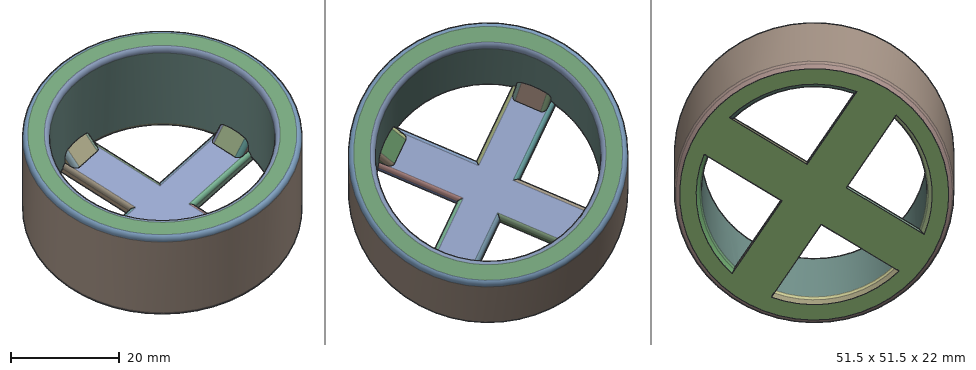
import cadquery as cq
import math

outer_radius = 25.75
bore_radius = 20.75
height = 22.0
edge_round = 1.0
bottom_chamfer = 1.0

arm_width = 8.6
floor_thickness = 2.0
arm_round = 0.8
arm_reach = (bore_radius + outer_radius) / 2

gusset_width = arm_width - 2 * arm_round
gusset_foot_radius = 17.75
gusset_slope = 45.0
gusset_round = 0.95


def make_ring():
    """Ring with rounded top rims and bottom chamfers that blend into the walls with a round."""
    blend_length = edge_round * math.tan(math.radians(22.5))
    blend_leg = blend_length * math.sqrt(0.5)
    section = (
        cq.Workplane("XZ")
        .moveTo(bore_radius + bottom_chamfer, 0)
        .lineTo(outer_radius - bottom_chamfer, 0)
        .lineTo(outer_radius - blend_leg, bottom_chamfer - blend_leg)
        .tangentArcPoint((outer_radius, bottom_chamfer + blend_length), relative=False)
        .lineTo(outer_radius, height - edge_round)
        .tangentArcPoint((outer_radius - edge_round, height), relative=False)
        .lineTo(bore_radius + edge_round, height)
        .tangentArcPoint((bore_radius, height - edge_round), relative=False)
        .lineTo(bore_radius, bottom_chamfer + blend_length)
        .tangentArcPoint((bore_radius + blend_leg, bottom_chamfer - blend_leg), relative=False)
        .close()
    )
    return section.revolve(360, (0, 0, 0), (0, 1, 0))


def make_cross():
    """Four-armed floor with rounded upper edges."""
    arm_x = cq.Workplane("XY").box(2 * arm_reach, arm_width, floor_thickness, centered=(True, True, False))
    arm_y = arm_x.rotate((0, 0, 0), (0, 0, 1), 90)
    return arm_x.union(arm_y).faces(">Z").edges().fillet(arm_round)


def make_gusset():
    """Sloped wedge rising along +X from the floor into the ring wall, rounded along its sides."""
    run = arm_reach - gusset_foot_radius
    rise = run * math.tan(math.radians(gusset_slope))
    slope_direction = cq.Vector(run, 0, rise)
    profile = [
        (gusset_foot_radius, 0),
        (arm_reach, 0),
        (arm_reach, floor_thickness + rise),
        (gusset_foot_radius, floor_thickness),
    ]
    wedge = cq.Workplane("XZ").polyline(profile).close().extrude(gusset_width / 2, both=True)
    return wedge.edges(cq.selectors.ParallelDirSelector(slope_direction)).fillet(gusset_round)


result = make_ring().union(make_cross())
for quarter in range(4):
    result = result.union(make_gusset().rotate((0, 0, 0), (0, 0, 1), 90 * quarter))